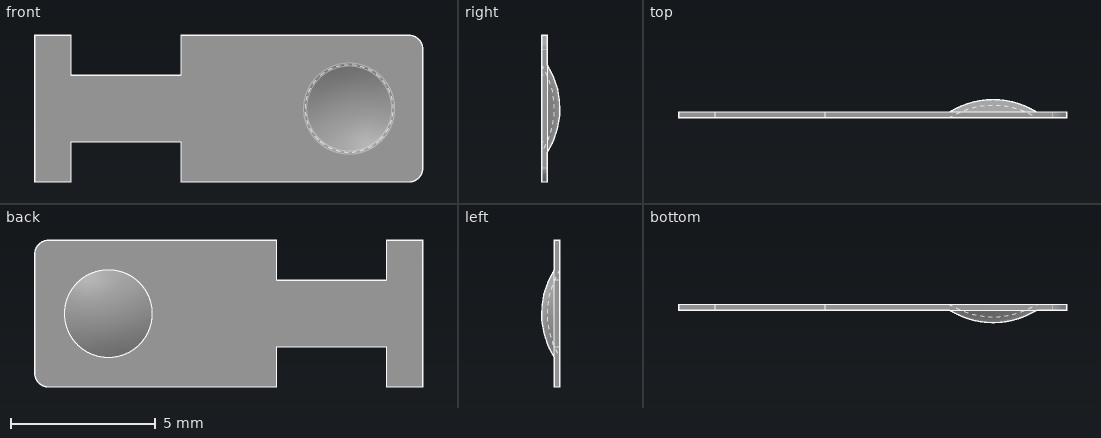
import cadquery as cq

length = 13.41
height = 5.08
thickness = 0.2
corner_radius = 0.5

end_bar_width = 1.26
neck_end = 5.05
neck_height = 2.3

dimple_x = 10.86
dimple_radius = 1.52
dimple_depth = 0.44
rim_fillet = 0.2
sphere_radius = (dimple_radius**2 + dimple_depth**2) / (2 * dimple_depth)


def spherical_cap(base_y):
    """Cap with its flat base at base_y, bulging toward +Y."""
    sphere = (
        cq.Workplane("XY")
        .sphere(sphere_radius)
        .translate((dimple_x, base_y + dimple_depth - sphere_radius, 0))
    )
    bounds = (
        cq.Workplane("XZ", origin=(dimple_x, base_y, 0))
        .circle(2 * dimple_radius)
        .extrude(-2 * dimple_depth)
    )
    return sphere.intersect(bounds)


def make_plate():
    """Rectangular plate with rounded right corners and a notched neck."""
    plate = (
        cq.Workplane("XY")
        .box(length, thickness, height, centered=(False, False, True))
        .edges("|Y and >X")
        .fillet(corner_radius)
    )
    notch_height = (height - neck_height) / 2
    notch_z = (height + neck_height) / 4
    notch = (
        cq.Workplane("XY")
        .center((end_bar_width + neck_end) / 2, thickness / 2)
        .box(neck_end - end_bar_width, thickness, notch_height)
    )
    for side in (-1, 1):
        plate = plate.cut(notch.translate((0, 0, side * notch_z)))
    return plate


domed_plate = make_plate().union(spherical_cap(thickness))
dimpled_plate = domed_plate.cut(spherical_cap(0))

rim = cq.selectors.RadiusNthSelector(-1)
result = dimpled_plate.faces("<Y").edges(rim).fillet(rim_fillet)